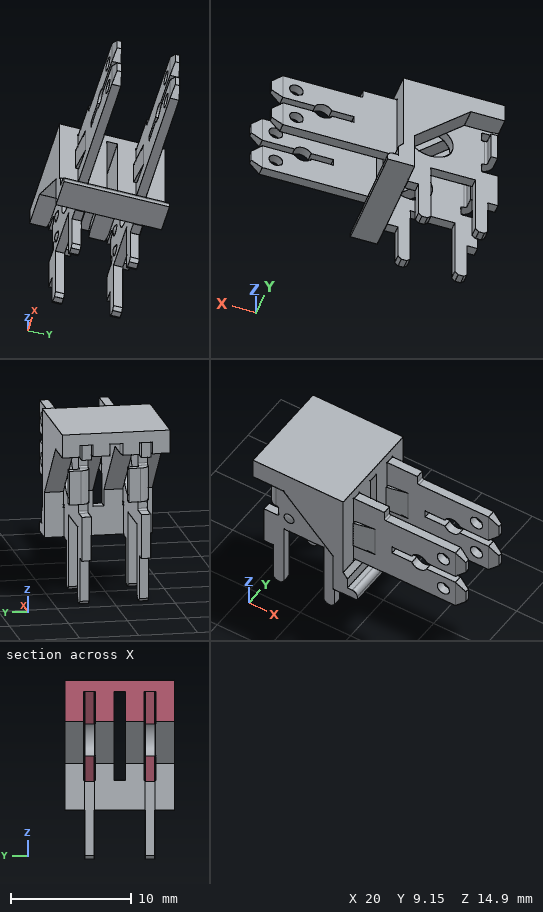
import cadquery as cq


housing_width = 9.15
housing_top = 4.98
wall_front_x = 8.0
wall_back_x = 9.0
terminal_pitch = 5.05
plate_thickness = 0.8

roof_thickness = 1.98
roof_front_length = 3.02
housing_height = 10.85
slope_drop = wall_front_x - roof_front_length
ledge_top = housing_top - 8.35
ledge_x = wall_back_x + 0.42
ledge_slope_height = 0.55
foot_x = wall_back_x + 1.4
foot_height = 0.92
foot_round = 0.5

slot_width = 0.92
slot_mouth_width = 1.1
slot_lead_in = 0.8
slot_top = housing_top - 0.98
slot_bottom = ledge_top

plate_top = slot_top
plate_bottom = housing_top - 10.95
leg_tip_z = housing_top - 14.92
leg_width = 1.1
leg_pitch = 5.05
leg_chamfer = 0.3
leg_gap_top = housing_top - 8.45
plate_hole_diameter = 4.0
plate_hole_x = 6.0

relief_depth = 1.48
relief_radius = 0.15
relief_height = 1.0
tab_top = housing_top - 3.25
tab_height = 2.9
tab_front_x = 0.4
tab_thickness = 0.6
tab_reach = 0.98
tab_inner_radius = 0.2

dimple_diameter = 0.98
dimple_height = 0.18
dimple_x = 2.52
dimple_mid_z = housing_top - 5.42
dimple_pitch = 3.08

blade_length = 20.0
blade_height = 6.25
shoulder_x = 12.0
blade_tip_start_x = blade_length - 0.92
blade_tip_thickness = 0.4
blade_tip_inset = 0.8
blade_slot_height = 0.7
blade_slot_x = 12.78
blade_eye_diameter = 1.62
blade_eye_x = 15.48
blade_hole_diameter = 1.2
blade_hole_x = 17.88
blade_hole_pitch = 3.45

barb_front_x = 9.08
barb_back_x = 11.08
barb_front_height = 2.65
barb_back_height = 2.98
barb_mid_z = 0.02
barb_depth = 0.28


def extrude_across(sketch, width):
    """Extrude a closed XZ outline by width, centred on Y = 0."""
    return sketch.extrude(width / 2, both=True)


def make_slot(y):
    """Slot through the housing along X, with a widened mouth at its front."""
    half_mouth = slot_mouth_width / 2
    half_slot = slot_width / 2
    return (
        cq.Workplane("XY", origin=(0, y, slot_bottom))
        .moveTo(0, -half_mouth)
        .lineTo(slot_lead_in, -half_slot)
        .lineTo(wall_back_x, -half_slot)
        .lineTo(wall_back_x, half_slot)
        .lineTo(slot_lead_in, half_slot)
        .lineTo(0, half_mouth)
        .close()
        .extrude(slot_top - slot_bottom)
    )


def make_housing():
    """Roof, sloped inner face, rear wall and foot, slotted for the terminals."""
    roof_bottom = housing_top - roof_thickness
    bottom = housing_top - housing_height
    foot_top = bottom + foot_height
    outline = (
        cq.Workplane("XZ")
        .moveTo(0, housing_top)
        .lineTo(wall_back_x, housing_top)
        .lineTo(wall_back_x, ledge_top)
        .lineTo(ledge_x, ledge_top - ledge_slope_height)
        .lineTo(ledge_x, foot_top)
        .lineTo(foot_x - foot_round, foot_top)
        .radiusArc((foot_x, foot_top - foot_round), foot_round)
        .lineTo(foot_x, bottom)
        .lineTo(wall_front_x, bottom)
        .lineTo(wall_front_x, roof_bottom - slope_drop)
        .lineTo(roof_front_length, roof_bottom)
        .lineTo(0, roof_bottom)
        .close()
    )
    body = extrude_across(outline, housing_width)
    for step in (-1, 0, 1):
        body = body.cut(make_slot(step * terminal_pitch / 2))
    return body


def make_plate():
    """Flat sheet from the open side to the prong tips, with the slot between the prongs."""
    half_blade = blade_height / 2
    half_slot = blade_slot_height / 2
    outline = (
        cq.Workplane("XZ")
        .moveTo(0, plate_top)
        .lineTo(shoulder_x, plate_top)
        .lineTo(shoulder_x, half_blade + relief_radius)
        .radiusArc((shoulder_x + relief_radius, half_blade), -relief_radius)
        .lineTo(blade_tip_start_x, half_blade)
        .lineTo(blade_length, half_blade - blade_tip_inset)
        .lineTo(blade_length, half_slot + blade_tip_inset)
        .lineTo(blade_tip_start_x, half_slot)
        .lineTo(blade_slot_x, half_slot)
        .lineTo(blade_slot_x, -half_slot)
        .lineTo(blade_tip_start_x, -half_slot)
        .lineTo(blade_length, -half_slot - blade_tip_inset)
        .lineTo(blade_length, blade_tip_inset - half_blade)
        .lineTo(blade_tip_start_x, -half_blade)
        .lineTo(wall_front_x, -half_blade)
        .lineTo(wall_front_x, plate_bottom)
        .lineTo(0, plate_bottom)
        .close()
    )
    return extrude_across(outline, plate_thickness)


def make_plan():
    """Top outline of the sheet: constant thickness, thinned on both faces at the tip."""
    half_plate = plate_thickness / 2
    half_tip = blade_tip_thickness / 2
    return (
        cq.Workplane("XY", origin=(0, 0, plate_bottom))
        .moveTo(0, -half_plate)
        .lineTo(blade_tip_start_x, -half_plate)
        .lineTo(blade_length, -half_tip)
        .lineTo(blade_length, half_tip)
        .lineTo(blade_tip_start_x, half_plate)
        .lineTo(0, half_plate)
        .close()
        .extrude(plate_top - plate_bottom)
    )


def make_leg(x):
    """Leg hanging below the sheet, chamfered at its tip."""
    length = leg_gap_top - leg_tip_z
    leg = cq.Workplane("XY", origin=(x, 0, leg_tip_z)).box(
        leg_width, plate_thickness, length, centered=(True, True, False)
    )
    return leg.faces("<Z").edges("|Y").chamfer(leg_chamfer)


def make_leg_gap():
    """Opening between the legs, up to the sheet above them."""
    width = leg_pitch - leg_width
    return cq.Workplane("XY", origin=(wall_front_x / 2, 0, plate_bottom)).box(
        width, plate_thickness, leg_gap_top - plate_bottom, centered=(True, True, False)
    )


def make_relief(top):
    """Notch from the open edge of the sheet, rounded at its inner corners."""
    notch = cq.Workplane("XY", origin=(0, 0, top - relief_height)).box(
        relief_depth, plate_thickness, relief_height, centered=(False, True, False)
    )
    return notch.edges("|Y and >X").fillet(relief_radius)


def make_tab():
    """Tab that bends from the sheet toward +Y around a vertical axis."""
    half_plate = plate_thickness / 2
    bend_end_x = tab_front_x + plate_thickness
    tab_back_x = tab_front_x + tab_thickness
    tab_end_y = half_plate + tab_reach
    return (
        cq.Workplane("XY", origin=(0, 0, tab_top - tab_height))
        .moveTo(relief_depth, -half_plate)
        .lineTo(bend_end_x, -half_plate)
        .radiusArc((tab_front_x, half_plate), plate_thickness)
        .lineTo(tab_front_x, tab_end_y)
        .lineTo(tab_back_x, tab_end_y)
        .lineTo(tab_back_x, half_plate + tab_inner_radius)
        .radiusArc((tab_back_x + tab_inner_radius, half_plate), -tab_inner_radius)
        .lineTo(relief_depth, half_plate)
        .close()
        .extrude(tab_height)
    )


def make_dimple(z):
    """Spherical cap standing on the -Y face of the sheet."""
    rim_radius = dimple_diameter / 2
    sphere_radius = (rim_radius**2 + dimple_height**2) / (2 * dimple_height)
    face_y = -plate_thickness / 2
    apex_y = face_y - dimple_height
    return (
        cq.Workplane("XY", origin=(dimple_x, 0, z))
        .moveTo(0, 0)
        .lineTo(rim_radius, 0)
        .lineTo(rim_radius, face_y)
        .radiusArc((0, apex_y), sphere_radius)
        .close()
        .revolve(360, (0, 0, 0), (0, 1, 0))
    )


def make_barb():
    """Wedge on the -Y face, deepest just behind the housing and fading toward the tip."""
    half_front = barb_front_height / 2
    half_back = barb_back_height / 2
    face_y = -plate_thickness / 2
    side = extrude_across(
        cq.Workplane("XZ").polyline(
            [
                (barb_front_x, barb_mid_z - half_front),
                (barb_back_x, barb_mid_z - half_back),
                (barb_back_x, barb_mid_z + half_back),
                (barb_front_x, barb_mid_z + half_front),
            ]
        ).close(),
        plate_thickness + 2 * barb_depth,
    )
    wedge = (
        cq.Workplane("XY")
        .polyline(
            [
                (barb_front_x, 0),
                (barb_front_x, face_y - barb_depth),
                (barb_back_x, face_y),
                (barb_back_x, 0),
            ]
        )
        .close()
        .extrude(barb_back_height, both=True)
    )
    return side.intersect(wedge)


def drill_through(sheet, x, z, diameter):
    """Cut a round hole along Y through the sheet."""
    drill = extrude_across(
        cq.Workplane("XZ", origin=(x, 0, z)).circle(diameter / 2), plate_thickness
    )
    return sheet.cut(drill)


def make_terminal(y):
    """One sheet-metal terminal, centred on the plane at y."""
    tab_bottom = tab_top - tab_height
    tab_zone = cq.Workplane("XY", origin=(0, 0, tab_bottom)).box(
        relief_depth, plate_thickness, tab_height, centered=(False, True, False)
    )
    body = make_plate().intersect(make_plan())
    body = body.cut(make_leg_gap()).cut(tab_zone).union(make_tab())
    body = body.cut(make_relief(tab_top + relief_height)).cut(make_relief(tab_bottom))
    body = drill_through(body, plate_hole_x, 0, plate_hole_diameter)
    body = drill_through(body, blade_eye_x, 0, blade_eye_diameter)
    for side in (-1, 1):
        body = drill_through(body, blade_hole_x, side * blade_hole_pitch / 2, blade_hole_diameter)
        body = body.union(make_leg(wall_front_x / 2 + side * leg_pitch / 2))
        body = body.union(make_dimple(dimple_mid_z + side * dimple_pitch / 2))
    body = body.union(make_barb())
    return body.translate((0, y, 0))


housing = make_housing().solids().val()
terminals = [make_terminal(side * terminal_pitch / 2).solids().val() for side in (-1, 1)]

result = cq.Compound.makeCompound([housing, *terminals])